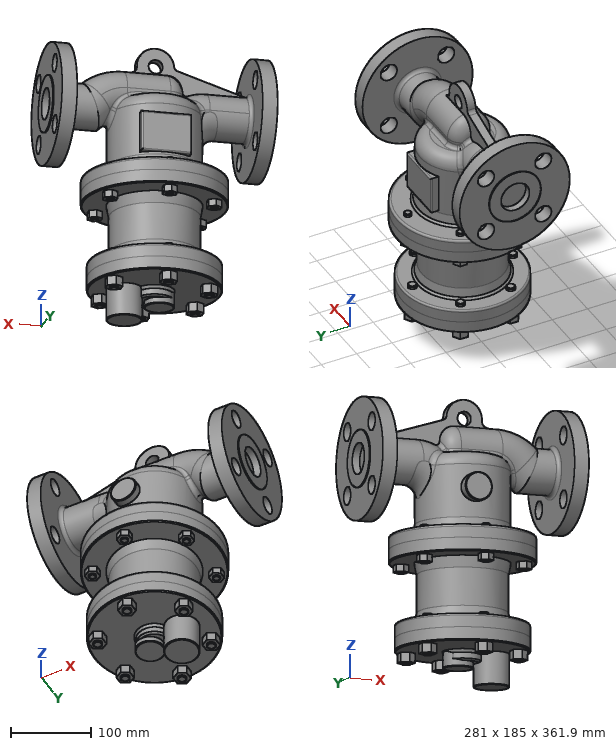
import cadquery as cq
import math


HALF_LENGTH = 140.5
PIPE_R = 29.0
END_FLANGE_R = 78.0
END_FLANGE_BACK = 119.5
RAISED_FACE_R = 36.5
RAISED_FACE_HEIGHT = 1.5
PORT_BORE_R = 20.0
PORT_BORE_DEPTH = 10.0
END_BOLT_CIRCLE_R = 57.3
END_BOLT_HOLE_R = 11.5
NECK_FILLET = 5.0
PIPE_END = END_FLANGE_BACK - NECK_FILLET

INLET_BEND_X = -64.0
INLET_BEND_R = 33.5
INLET_BLEND = 10.0
THROAT_R = 18.0
THROAT_INSET = 0.1

SEAM_SAMPLES = (0.2, 0.5, 0.8)
SEAM_TOLERANCE = 0.001

OUTLET_AXIS_Z = 20.6
OUTLET_START_X = -33.5
OUTLET_END_ROUND = 20.0
OUTLET_BLEND = 5.0
OUTLET_BEND_X = 42.5
OUTLET_BEND_R = 51.0
OUTLET_BEND_ANGLE = 42.0

BODY_R = 60.0
BODY_TOP = 11.0
BODY_ROUND = 18.5
BODY_BOTTOM = -75.0
FLARE_R = 62.0

UPPER_JOINT_R = 92.5
UPPER_JOINT_TOP = -90.0
UPPER_JOINT_SPLIT = -107.0
UPPER_JOINT_BOTTOM = -124.0
UPPER_JOINT_ROUND = 3.0
UPPER_BOLT_CIRCLE_R = 77.5

MIDDLE_R = 57.6
MIDDLE_FLARE_R = 60.5
MIDDLE_TOP = -138.5
MIDDLE_BOTTOM = -187.0

LOWER_JOINT_R = 85.0
LOWER_JOINT_TOP = -202.0
LOWER_JOINT_SPLIT = -219.3
LOWER_JOINT_BOTTOM = -236.3
LOWER_JOINT_ROUND = 2.5
LOWER_BOLT_CIRCLE_R = 71.0

FLARE_FOOT = 3.0
JOINT_EDGE = 1.5

BOLT_COUNT = 6
UPPER_BOLT = (5.0, 4.0, 17.0, 9.0, 1.7)
LOWER_BOLT = (6.0, 4.0, 19.5, 12.0, 2.0)

LUG_THICKNESS = 12.0
LUG_R = 24.0
LUG_HOLE_R = 9.0
LUG_TOP = 83.5
LUG_Z = LUG_TOP - LUG_R
LUG_SHOULDER_INSET = 2.0
LUG_SHOULDER_DROP = 1.4
LUG_SHOULDER_ROUND = 6.0
LUG_TOE_X = -115.0
LUG_BLEND = 8.0

SIDE_PLUG_R = 18.0
SIDE_PLUG_X = -6.2
SIDE_PLUG_Z = -37.3
SIDE_PLUG_FACE_Y = -70.0
PLUG_EDGE = 1.0
PAD_HALF_WIDTH = 32.2
PAD_FACE_Y = 62.0
PAD_ROUND = 2.0
PAD_Z = (-72.0, -20.0)

DRAIN_R = 22.5
DRAIN_X = 39.0
DRAIN_BOTTOM = LUG_TOP - 361.94
HUB_R = 23.5
HUB_FOOT = 2.0
HUB_FOOT_Z = -240.5
HUB_EDGE_Z = -248.0
HUB_END_R = 20.5
HUB_END_Z = -250.0
BOTTOM_PLUG_R = 19.0
BOTTOM_PLUG_X = -6.0
BOTTOM_PLUG_BOTTOM = -257.8


def x_cylinder(radius, x_start, x_end, z=0.0):
    """Cylinder along X between two X positions."""
    return cq.Workplane("YZ", origin=(x_start, 0, z)).circle(radius).extrude(x_end - x_start)


def z_cylinder(radius, x, y, z_start, z_end):
    """Cylinder along Z between two heights."""
    return cq.Workplane("XY", origin=(x, y, z_start)).circle(radius).extrude(z_end - z_start)


def corner_mid_point(corner_r, corner_z, round_r):
    """Middle of the arc that rounds an outer top corner of the turned profile."""
    inset = round_r * (1 - math.sqrt(0.5))
    return corner_r - inset, corner_z - inset


def make_body():
    """Turned stack of the upper body, both bolted joints and the middle body."""
    upper_round = corner_mid_point(UPPER_JOINT_R, UPPER_JOINT_TOP, UPPER_JOINT_ROUND)
    lower_round = corner_mid_point(LOWER_JOINT_R, LOWER_JOINT_TOP, LOWER_JOINT_ROUND)
    dome_round = corner_mid_point(BODY_R, BODY_TOP, BODY_ROUND)
    profile = (
        cq.Workplane("XZ")
        .moveTo(0, BODY_TOP)
        .lineTo(BODY_R - BODY_ROUND, BODY_TOP)
        .threePointArc(dome_round, (BODY_R, BODY_TOP - BODY_ROUND))
        .lineTo(BODY_R, BODY_BOTTOM)
        .lineTo(FLARE_R, UPPER_JOINT_TOP + FLARE_FOOT)
        .lineTo(FLARE_R + FLARE_FOOT, UPPER_JOINT_TOP)
        .lineTo(UPPER_JOINT_R - UPPER_JOINT_ROUND, UPPER_JOINT_TOP)
        .threePointArc(upper_round, (UPPER_JOINT_R, UPPER_JOINT_TOP - UPPER_JOINT_ROUND))
        .lineTo(UPPER_JOINT_R, UPPER_JOINT_SPLIT)
        .lineTo(UPPER_JOINT_R, UPPER_JOINT_BOTTOM + JOINT_EDGE)
        .lineTo(UPPER_JOINT_R - JOINT_EDGE, UPPER_JOINT_BOTTOM)
        .lineTo(MIDDLE_FLARE_R, UPPER_JOINT_BOTTOM)
        .lineTo(MIDDLE_R, MIDDLE_TOP)
        .lineTo(MIDDLE_R, MIDDLE_BOTTOM)
        .lineTo(MIDDLE_FLARE_R, LOWER_JOINT_TOP + FLARE_FOOT)
        .lineTo(MIDDLE_FLARE_R + FLARE_FOOT, LOWER_JOINT_TOP)
        .lineTo(LOWER_JOINT_R - LOWER_JOINT_ROUND, LOWER_JOINT_TOP)
        .threePointArc(lower_round, (LOWER_JOINT_R, LOWER_JOINT_TOP - LOWER_JOINT_ROUND))
        .lineTo(LOWER_JOINT_R, LOWER_JOINT_SPLIT)
        .lineTo(LOWER_JOINT_R, LOWER_JOINT_BOTTOM + JOINT_EDGE)
        .lineTo(LOWER_JOINT_R - JOINT_EDGE, LOWER_JOINT_BOTTOM)
        .lineTo(0, LOWER_JOINT_BOTTOM)
        .close()
    )
    return profile.revolve(360, (0, 0, 0), (0, 1, 0), clean=False)


def turned_bend(start_x, axis_z, bend_r, radius, angle):
    """Round bend that starts along +X and turns downward."""
    return (
        cq.Workplane("YZ", origin=(start_x, 0, axis_z))
        .circle(radius)
        .revolve(angle, (0, -bend_r, 0), (1, -bend_r, 0))
    )


def make_inlet():
    """Inlet pipe with a tight bend down into the body."""
    pipe = x_cylinder(PIPE_R, -PIPE_END, INLET_BEND_X)
    return pipe.union(turned_bend(INLET_BEND_X, 0, INLET_BEND_R, PIPE_R, 90))


def make_inlet_throat():
    """Wide bend that rounds the corner between the inlet underside and the body wall."""
    start_x = -BODY_R - THROAT_R
    return turned_bend(start_x, 0, PIPE_R + THROAT_R, PIPE_R - THROAT_INSET, 90)


def shared_edges(joined, first, second):
    """Edges of a union that lie on the surfaces of both of its parts."""
    def lies_on(part, point):
        return min(face.distance(point) for face in part.faces().vals()) < SEAM_TOLERANCE

    edges = []
    for edge in joined.edges().vals():
        points = [cq.Vertex.makeVertex(*edge.positionAt(t).toTuple()) for t in SEAM_SAMPLES]
        if all(lies_on(first, point) and lies_on(second, point) for point in points):
            edges.append(edge)
    return edges


def blend(first, second, radius):
    """Join two solids and fillet the seam where they meet."""
    joined = join(first, second)
    seam = shared_edges(joined, first, second)
    return cq.Workplane(obj=joined.val().fillet(radius, seam))


def join(first, second):
    """Union that keeps the parting lines of the bolted joints."""
    return first.union(second, clean=False)


def make_outlet():
    """Raised pipe that bends down and meets the outlet pipe at a mitre."""
    angle = math.radians(OUTLET_BEND_ANGLE)
    bend_centre_z = OUTLET_AXIS_Z - OUTLET_BEND_R
    bend_end_x = OUTLET_BEND_X + OUTLET_BEND_R * math.sin(angle)
    bend_end_z = bend_centre_z + OUTLET_BEND_R * math.cos(angle)
    mitre_x = bend_end_x + bend_end_z / math.tan(angle)

    raised = x_cylinder(PIPE_R, OUTLET_START_X, OUTLET_BEND_X, OUTLET_AXIS_Z)
    raised = raised.faces("<X").edges().fillet(OUTLET_END_ROUND)
    bend = turned_bend(OUTLET_BEND_X, OUTLET_AXIS_Z, OUTLET_BEND_R, PIPE_R, OUTLET_BEND_ANGLE)
    sloped_plane = cq.Plane(
        origin=(bend_end_x, 0, bend_end_z),
        xDir=(0, 1, 0),
        normal=(math.cos(angle), 0, -math.sin(angle)),
    )
    sloped = cq.Workplane(sloped_plane).circle(PIPE_R).extrude(2 * PIPE_R)
    level = x_cylinder(PIPE_R, mitre_x - PIPE_R, PIPE_END)

    side = 4 * PIPE_R
    mitre_plane = cq.Plane(
        origin=(mitre_x, 0, 0),
        xDir=(0, 1, 0),
        normal=(math.cos(angle / 2), 0, -math.sin(angle / 2)),
    )
    outlet_side = cq.Workplane(mitre_plane).rect(side, side).extrude(side)
    return raised.union(bend).union(sloped.cut(outlet_side)).union(level.intersect(outlet_side))


def make_end_flange():
    """Pipe flange with raised face and rounded neck at the +X end."""
    flange_face = HALF_LENGTH - RAISED_FACE_HEIGHT
    neck_mid_x = PIPE_END + NECK_FILLET * math.sqrt(0.5)
    neck_mid_r = PIPE_R + NECK_FILLET * (1 - math.sqrt(0.5))
    return (
        cq.Workplane("XY")
        .moveTo(PIPE_END, 0)
        .lineTo(PIPE_END, PIPE_R)
        .threePointArc((neck_mid_x, neck_mid_r), (END_FLANGE_BACK, PIPE_R + NECK_FILLET))
        .lineTo(END_FLANGE_BACK, END_FLANGE_R)
        .lineTo(flange_face, END_FLANGE_R)
        .lineTo(flange_face, RAISED_FACE_R)
        .lineTo(HALF_LENGTH, RAISED_FACE_R)
        .lineTo(HALF_LENGTH, 0)
        .close()
        .revolve(360, (0, 0, 0), (1, 0, 0))
    )


def make_end_flange_holes():
    """Blind port bore and four through bolt holes of the +X flange."""
    holes = x_cylinder(PORT_BORE_R, HALF_LENGTH - PORT_BORE_DEPTH, HALF_LENGTH)
    bolt_holes = (
        cq.Workplane("YZ", origin=(END_FLANGE_BACK, 0, 0))
        .polarArray(END_BOLT_CIRCLE_R, 45, 360, 4)
        .circle(END_BOLT_HOLE_R)
        .extrude(HALF_LENGTH - END_FLANGE_BACK)
    )
    return holes.union(bolt_holes)


def make_bolts(bolt, circle_r, joint_top, joint_bottom):
    """Ring of studs with hexagon nuts on the underside of a joint."""
    stud_r, stud_height, nut_flats, nut_height, stud_end = bolt
    nut_corners = nut_flats / math.cos(math.pi / 6)
    nut_bottom = joint_bottom - nut_height
    bolts = cq.Workplane("XY")
    for index in range(BOLT_COUNT):
        angle = math.radians(90 + index * 360 / BOLT_COUNT)
        x = circle_r * math.cos(angle)
        y = circle_r * math.sin(angle)
        nut = (
            cq.Workplane("XY", origin=(x, y, nut_bottom))
            .transformed(rotate=(0, 0, 90))
            .polygon(6, nut_corners)
            .extrude(nut_height)
        )
        stud = z_cylinder(stud_r, x, y, nut_bottom - stud_end, joint_top + stud_height)
        stud = stud.faces("<Z or >Z").edges().chamfer(PLUG_EDGE)
        bolts = bolts.add(nut.union(stud))
    return bolts.combine()


def make_lug():
    """Flat lifting lug with a long sloping tail over the inlet pipe."""
    foot_z = OUTLET_AXIS_Z + PIPE_R
    shoulder_x = LUG_SHOULDER_INSET - LUG_R
    shoulder_z = LUG_Z - LUG_SHOULDER_DROP
    tail = (
        cq.Workplane("XZ", origin=(0, LUG_THICKNESS / 2, 0))
        .moveTo(LUG_TOE_X, PIPE_R)
        .lineTo(shoulder_x, shoulder_z)
        .lineTo(LUG_R, shoulder_z)
        .lineTo(LUG_R, 0)
        .lineTo(LUG_TOE_X, 0)
        .close()
        .extrude(LUG_THICKNESS)
    )
    eye = cq.Workplane("XZ", origin=(0, LUG_THICKNESS / 2, LUG_Z)).circle(LUG_R).extrude(LUG_THICKNESS)
    foot = (
        cq.Workplane("XZ", origin=(0, LUG_THICKNESS / 2, 0))
        .moveTo(LUG_R, foot_z + LUG_BLEND)
        .radiusArc((LUG_R + LUG_BLEND, foot_z), -LUG_BLEND)
        .lineTo(LUG_R + LUG_BLEND, OUTLET_AXIS_Z)
        .lineTo(LUG_R, OUTLET_AXIS_Z)
        .close()
        .extrude(LUG_THICKNESS)
    )
    plate = tail.union(eye)
    shoulder = cq.selectors.NearestToPointSelector((-LUG_R, 0, shoulder_z))
    plate = plate.edges("|Y").edges(shoulder).fillet(LUG_SHOULDER_ROUND)
    return plate.union(foot)


def make_lug_hole():
    """Through hole of the lifting eye."""
    return (
        cq.Workplane("XZ", origin=(0, LUG_THICKNESS / 2, LUG_Z))
        .circle(LUG_HOLE_R)
        .extrude(LUG_THICKNESS)
    )


def make_side_plug():
    """Round plug on the front of the upper body."""
    plug = (
        cq.Workplane("XZ", origin=(SIDE_PLUG_X, 0, SIDE_PLUG_Z))
        .circle(SIDE_PLUG_R)
        .extrude(-SIDE_PLUG_FACE_Y)
    )
    return plug.faces("<Y").edges().chamfer(PLUG_EDGE)


def make_pad():
    """Flat pad on the back of the upper body."""
    z_start, z_end = PAD_Z
    pad = (
        cq.Workplane("XY", origin=(0, PAD_FACE_Y / 2, z_start))
        .rect(2 * PAD_HALF_WIDTH, PAD_FACE_Y)
        .extrude(z_end - z_start)
    )
    return pad.faces(">Y").edges().fillet(PAD_ROUND)


def make_underside():
    """Tapered hub, plug and drain pipe below the lower joint."""
    hub = (
        cq.Workplane("XZ")
        .moveTo(0, LOWER_JOINT_BOTTOM)
        .lineTo(HUB_R + HUB_FOOT, LOWER_JOINT_BOTTOM)
        .lineTo(HUB_R, HUB_FOOT_Z)
        .lineTo(HUB_R, HUB_EDGE_Z)
        .lineTo(HUB_END_R, HUB_END_Z)
        .lineTo(0, HUB_END_Z)
        .close()
        .revolve(360, (0, 0, 0), (0, 1, 0))
    )
    drain = z_cylinder(DRAIN_R, DRAIN_X, 0, DRAIN_BOTTOM, LOWER_JOINT_BOTTOM)
    drain = drain.faces("<Z").edges().chamfer(PLUG_EDGE)
    plug = z_cylinder(BOTTOM_PLUG_R, BOTTOM_PLUG_X, 0, BOTTOM_PLUG_BOTTOM, LOWER_JOINT_BOTTOM)
    plug = plug.faces("<Z").edges().chamfer(PLUG_EDGE)
    return hub.union(drain).union(plug)


casting = blend(make_body(), make_inlet(), INLET_BLEND)
casting = join(casting, make_inlet_throat())
casting = blend(casting, make_outlet(), OUTLET_BLEND)

fittings = (
    make_lug(),
    make_side_plug(),
    make_pad(),
    make_underside(),
    make_bolts(UPPER_BOLT, UPPER_BOLT_CIRCLE_R, UPPER_JOINT_TOP, UPPER_JOINT_BOTTOM),
    make_bolts(LOWER_BOLT, LOWER_BOLT_CIRCLE_R, LOWER_JOINT_TOP, LOWER_JOINT_BOTTOM),
)
result = casting
for fitting in fittings:
    result = join(result, fitting)
result = result.cut(make_lug_hole(), clean=False)

for turn in (0, 180):
    result = join(result, make_end_flange().rotate((0, 0, 0), (0, 0, 1), turn))
    result = result.cut(make_end_flange_holes().rotate((0, 0, 0), (0, 0, 1), turn), clean=False)